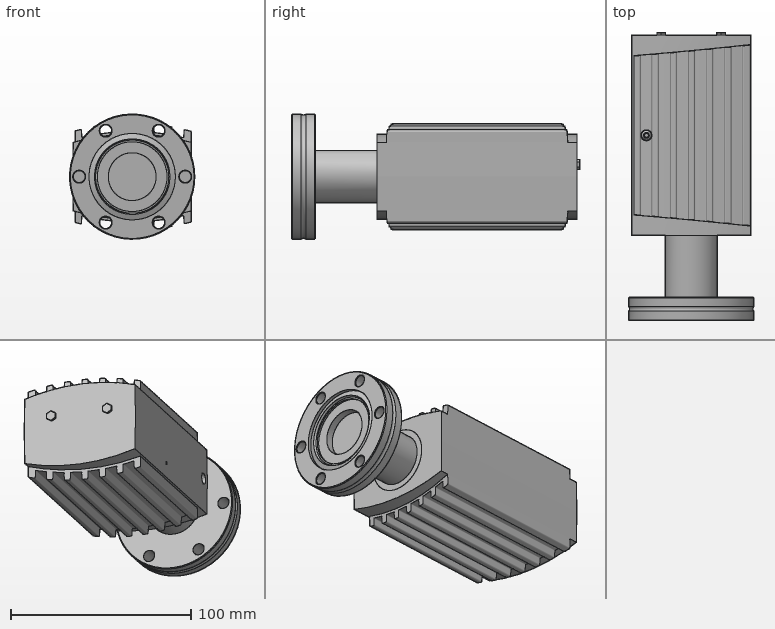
import cadquery as cq
import math


flange_diameter = 69.5
flange_radius = flange_diameter / 2
flange_thickness = 13.1
flange_edge_chamfer = 0.5
rim_groove_width = 2.5
rim_groove_depth = 0.5
bolt_hole_diameter = 6.5
bolt_hole_chamfer = 0.3
bolt_circle_diameter = 58.8
bolt_count = 6

recess_radius = 24.0
recess_depth = 2.0
knife_radius = 21.0
knife_depth = 1.1
ledge_outer_radius = 20.3
ledge_inner_radius = 19.3
ledge_depth = 2.4
plateau_depth = 3.5
bore_radius = 13.3
bore_depth = 8.0

tube_diameter = 29.0
shoulder_diameter = 36.1
shoulder_thickness = 4.8

overall_length = 159.7
jackscrew_height = 1.5
housing_front = 47.3
housing_back = overall_length - jackscrew_height
housing_length = housing_back - housing_front
housing_middle = (housing_front + housing_back) / 2
housing_half_width = 33.0
corner_half_width = 32.7
corner_height = 19.0
crown_height = 23.6
crown_rise = crown_height - corner_height
crown_radius = (corner_half_width**2 + crown_rise**2) / (2 * crown_rise)
crown_axis_height = crown_height - crown_radius

fin_count = 7
fin_pitch = 10.0
fin_width = 4.3
fin_height = 5.9
fin_draft = 3.0
fin_base_thickness = 1.5
fin_edge_round = 0.6
fin_root_round = 0.3
middle_fin_x = 0.3
fin_block_left = -31.6
fin_block_right = corner_half_width
fin_half_length_left = 44.2
fin_half_length_right = 50.3
fin_side_overrun = 1.6
edge_tolerance = 0.02
groove_width = fin_pitch - fin_width
first_groove_x = middle_fin_x - (fin_count / 2 - 1) * fin_pitch

screw_hole_diameter = 6.0
screw_seat_height = 19.5
screw_head_diameter = 5.6
screw_head_top_diameter = 3.2
screw_head_height = 1.6
screw_socket_size = 2.0
screw_socket_depth = 1.0
screw_x = first_groove_x

port_y = 53.0
port_steps = [(6.0, 4.8), (4.8, 6.4), (3.2, 8.0)]
vent_diameter = 1.5
vent_depth = 3.2
vent_y = 109.7
vent_z = -10.5

jackscrew_flats = 5.0
jackscrew_x = 16.6
jackscrew_z = 6.7


def cylinder_along_y(radius, start, end, x=0.0, z=0.0):
    """Cylinder parallel to Y between two Y positions."""
    axis_start = cq.Vector(x, start, z)
    return cq.Workplane(cq.Solid.makeCylinder(radius, end - start, axis_start, cq.Vector(0, 1, 0)))


def left_side_hole(diameter, depth, y, z):
    """Cutter for a blind hole that enters the left side along +X."""
    entry = cq.Vector(-housing_half_width, y, z)
    return cq.Workplane(cq.Solid.makeCylinder(diameter / 2, depth, entry, cq.Vector(1, 0, 0)))


def crown_cylinder(offset):
    """Cylinder parallel to Y that lies the given offset above the crown."""
    return cylinder_along_y(crown_radius + offset, housing_front, housing_back, z=crown_axis_height)


def make_housing_block():
    profile = (
        cq.Workplane("XZ", origin=(0, housing_front, 0))
        .moveTo(-housing_half_width, 0)
        .lineTo(-corner_half_width, corner_height)
        .threePointArc((0, crown_height), (corner_half_width, corner_height))
        .lineTo(housing_half_width, 0)
        .lineTo(corner_half_width, -corner_height)
        .threePointArc((0, -crown_height), (-corner_half_width, -corner_height))
        .close()
    )
    return profile.extrude(-housing_length)


def make_fin_groove(x):
    """Cutter for one drafted groove that stops at the top of the fin base."""
    depth = crown_rise + fin_height
    widening = depth * math.tan(math.radians(fin_draft))
    return (
        cq.Workplane("XZ", origin=(x, housing_front, corner_height))
        .moveTo(-groove_width / 2, 0)
        .lineTo(groove_width / 2, 0)
        .lineTo(groove_width / 2 + widening, depth)
        .lineTo(-groove_width / 2 - widening, depth)
        .close()
        .extrude(-housing_length)
        .cut(crown_cylinder(fin_base_thickness))
    )


def make_fin_block():
    """Crowned, tapered fin field on top of the housing, with rounded fin edges and roots."""
    block_height = crown_rise + fin_height
    block_width = fin_block_right - fin_block_left
    end_slope = (fin_half_length_right - fin_half_length_left) / block_width
    half_length_before = fin_half_length_left - end_slope * fin_side_overrun
    half_length_beyond = fin_half_length_right + end_slope * fin_side_overrun
    sides = (
        cq.Workplane("XY", origin=(fin_block_left, housing_front, corner_height))
        .box(block_width, housing_length, block_height, centered=False)
    )
    block = (
        cq.Workplane("XY", origin=(0, housing_middle, corner_height))
        .moveTo(fin_block_left - fin_side_overrun, -half_length_before)
        .lineTo(fin_block_right + fin_side_overrun, -half_length_beyond)
        .lineTo(fin_block_right + fin_side_overrun, half_length_beyond)
        .lineTo(fin_block_left - fin_side_overrun, half_length_before)
        .close()
        .extrude(block_height, taper=fin_draft)
        .intersect(sides)
        .intersect(crown_cylinder(fin_height))
    )
    for index in range(fin_count - 1):
        block = block.cut(make_fin_groove(first_groove_x + index * fin_pitch))
    root_edges = [edge for edge in block.edges("|Y").vals() if is_at_height(edge, fin_base_thickness)]
    block = block.newObject(root_edges).fillet(fin_root_round)
    top_edges = [edge for edge in block.edges("|Y").vals() if is_at_height(edge, fin_height)]
    return block.newObject(top_edges).fillet(fin_edge_round)


def is_at_height(edge, height):
    """Whether an edge lies at the given height above the crown surface."""
    point = edge.Center()
    edge_height = math.hypot(point.x, point.z - crown_axis_height) - crown_radius
    return math.isclose(edge_height, height, abs_tol=edge_tolerance)


def make_housing():
    fins = make_fin_block()
    housing = make_housing_block().union(fins).union(fins.mirror("XY"))
    shoulder_seat = cylinder_along_y(
        shoulder_diameter / 2, housing_front, housing_front + shoulder_thickness
    )
    housing = housing.cut(shoulder_seat)
    for diameter, depth in port_steps:
        housing = housing.cut(left_side_hole(diameter, depth, port_y, 0))
    housing = housing.cut(left_side_hole(vent_diameter, vent_depth, vent_y, vent_z))
    screw_hole = (
        cq.Workplane("XY", origin=(screw_x, housing_middle, screw_seat_height))
        .circle(screw_hole_diameter / 2)
        .extrude(crown_height + fin_height - screw_seat_height)
    )
    return housing.cut(screw_hole)


def make_bolt_hole():
    """Cutter for a bolt hole along the Y axis, chamfered at the sealing face."""
    hole_radius = bolt_hole_diameter / 2
    return (
        cq.Workplane("XY")
        .lineTo(hole_radius + bolt_hole_chamfer, 0)
        .lineTo(hole_radius, bolt_hole_chamfer)
        .lineTo(hole_radius, flange_thickness)
        .lineTo(0, flange_thickness)
        .close()
        .revolve(360, (0, 0, 0), (0, 1, 0))
    )


def make_sensor():
    """Flange, tube and shoulder in one piece, revolved about the Y axis."""
    groove_start = (flange_thickness - rim_groove_width) / 2
    groove_end = groove_start + rim_groove_width
    rim_inner = flange_radius - flange_edge_chamfer
    shoulder_end = housing_front + shoulder_thickness
    sensor = (
        cq.Workplane("XY")
        .moveTo(0, bore_depth)
        .lineTo(bore_radius, bore_depth)
        .lineTo(bore_radius, plateau_depth)
        .lineTo(ledge_inner_radius, plateau_depth)
        .lineTo(ledge_inner_radius, ledge_depth)
        .lineTo(ledge_outer_radius, ledge_depth)
        .lineTo(knife_radius, knife_depth)
        .lineTo(recess_radius, recess_depth)
        .lineTo(recess_radius, 0)
        .lineTo(rim_inner, 0)
        .lineTo(flange_radius, flange_edge_chamfer)
        .lineTo(flange_radius, groove_start)
        .threePointArc((flange_radius - rim_groove_depth, flange_thickness / 2), (flange_radius, groove_end))
        .lineTo(flange_radius, flange_thickness - flange_edge_chamfer)
        .lineTo(rim_inner, flange_thickness)
        .lineTo(tube_diameter / 2, flange_thickness)
        .lineTo(tube_diameter / 2, housing_front)
        .lineTo(shoulder_diameter / 2, housing_front)
        .lineTo(shoulder_diameter / 2, shoulder_end)
        .lineTo(0, shoulder_end)
        .close()
        .revolve(360, (0, 0, 0), (0, 1, 0))
    )
    bolt_hole = make_bolt_hole()
    for index in range(bolt_count):
        angle = 2 * math.pi * index / bolt_count
        hole_x = bolt_circle_diameter / 2 * math.cos(angle)
        hole_z = bolt_circle_diameter / 2 * math.sin(angle)
        sensor = sensor.cut(bolt_hole.translate((hole_x, 0, hole_z)))
    return sensor


def make_cover_screw():
    """Button head with a hexagon socket, resting on the floor of its hole."""
    base_radius = screw_head_diameter / 2
    top_radius = screw_head_top_diameter / 2
    centre_drop = (base_radius**2 - top_radius**2 - screw_head_height**2) / (2 * screw_head_height)
    dome_radius = math.hypot(base_radius, centre_drop)
    dome_radius_at_middle = (base_radius + top_radius) / 2
    dome_point = (dome_radius_at_middle, math.sqrt(dome_radius**2 - dome_radius_at_middle**2) - centre_drop)
    head = (
        cq.Workplane("XZ")
        .lineTo(base_radius, 0)
        .threePointArc(dome_point, (top_radius, screw_head_height))
        .lineTo(0, screw_head_height)
        .close()
        .revolve(360, (0, 0, 0), (0, 1, 0))
    )
    socket = (
        cq.Workplane("XY", origin=(0, 0, screw_head_height))
        .polygon(6, screw_socket_size, circumscribed=True)
        .extrude(-screw_socket_depth)
    )
    return head.cut(socket).translate((screw_x, housing_middle, screw_seat_height))


def make_jackscrew(x):
    """Hexagonal head on the back face, with its corners pointing up and down."""
    head = cq.Workplane("XZ").polygon(6, jackscrew_flats, circumscribed=True).extrude(-jackscrew_height)
    return head.translate((x, housing_back, jackscrew_z))


housing = make_housing()
sensor = make_sensor()
cover_screw = make_cover_screw()
jackscrews = [make_jackscrew(x) for x in (-jackscrew_x, jackscrew_x)]

result = cq.Compound.makeCompound(
    [housing.val(), sensor.val(), cover_screw.val(), *[jackscrew.val() for jackscrew in jackscrews]]
)